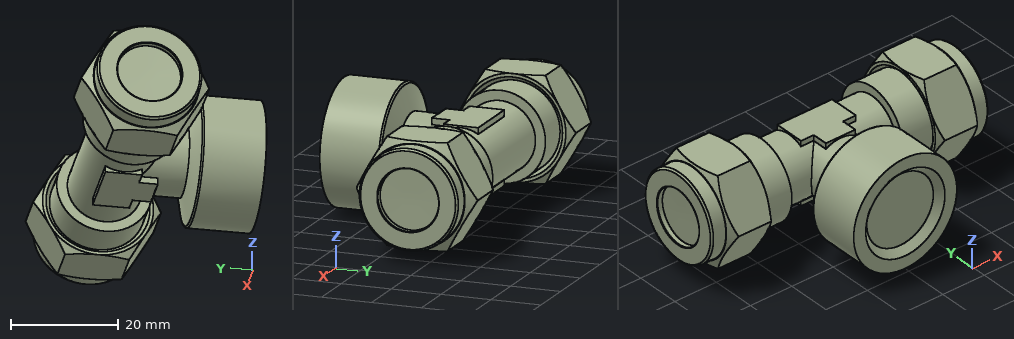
import cadquery as cq
import math

run_half_length = 33.5
branch_face = 26.0

pipe_radius = 7.05
collar_radius = 9.05
collar_start = 13.4

nut_across_flats = 21.05
nut_start = 20.0
nut_end = 30.1
nut_bevel_angle = 30.0
ring_radius = 9.9
ring_chamfer = 0.4
nut_outer_bevel_radius = 10.05
nut_recess_radius = 9.85
nut_recess_depth = 0.8
nut_inner_bevel_radius = nut_across_flats / 2
nut_corner_radius = nut_inner_bevel_radius / math.cos(math.pi / 6)

socket_radius = 6.1
socket_depth = 1.3
socket_cone_depth = 0.15
socket_edge_chamfer = 0.15

head_diameter = 25.0
head_radius = head_diameter / 2
head_start = 14.2
head_edge_chamfer = 0.35
neck_end = 12.4
mouth_radius = 9.6
mouth_floor_radius = 8.05
mouth_depth = 1.55

pad_half_width = 6.6
pad_half_depth = 3.5
pad_stem_half_width = 3.55
pad_stem_end = 7.05
pad_height = 7.4


def rod(radius, start, end):
    """Cylinder along +X between two X positions."""
    return cq.Workplane("YZ", origin=(start, 0, 0)).circle(radius).extrude(end - start)


def bevel_run(radius):
    """Length along X of a nut bevel that starts at the given radius and meets the hexagon corners."""
    return (nut_corner_radius - radius) * math.tan(math.radians(nut_bevel_angle))


def hexagon_nut():
    """Hexagonal prism with flats facing up and down and conical bevels at both ends.

    The inner end face is countersunk around the collar.
    """
    prism = (
        cq.Workplane("YZ", origin=(nut_start, 0, 0))
        .polygon(6, 2 * nut_corner_radius)
        .extrude(nut_end - nut_start)
    )
    envelope = (
        cq.Workplane("XY")
        .moveTo(nut_start + nut_recess_depth, 0)
        .lineTo(nut_start + nut_recess_depth, collar_radius)
        .lineTo(nut_start, nut_recess_radius)
        .lineTo(nut_start, nut_inner_bevel_radius)
        .lineTo(nut_start + bevel_run(nut_inner_bevel_radius), nut_corner_radius)
        .lineTo(nut_end - bevel_run(nut_outer_bevel_radius), nut_corner_radius)
        .lineTo(nut_end, nut_outer_bevel_radius)
        .lineTo(nut_end, 0)
        .close()
        .revolve(360, (0, 0, 0), (1, 0, 0))
    )
    return prism.intersect(envelope)


def run_end():
    """Collar, nut and socketed ring at the +X end of the run."""
    ring = rod(ring_radius, nut_end, run_half_length).faces(">X").edges().chamfer(ring_chamfer)
    body = rod(collar_radius, collar_start, nut_end).union(hexagon_nut()).union(ring)
    socket_floor = run_half_length - socket_depth
    socket = (
        cq.Workplane("XY")
        .moveTo(socket_floor - socket_cone_depth, 0)
        .lineTo(socket_floor, socket_radius)
        .lineTo(run_half_length, socket_radius)
        .lineTo(run_half_length, 0)
        .close()
        .revolve(360, (0, 0, 0), (1, 0, 0))
    )
    body = body.cut(socket)
    socket_rim = cq.selectors.RadiusNthSelector(0)
    return body.faces(">X").edges(socket_rim).chamfer(socket_edge_chamfer)


def branch():
    """Neck, conical shoulder and round head, with a countersunk mouth in the end face."""
    return (
        cq.Workplane("XY")
        .lineTo(pipe_radius, 0)
        .lineTo(pipe_radius, -neck_end)
        .lineTo(head_radius - head_edge_chamfer, head_edge_chamfer - head_start)
        .lineTo(head_radius, -head_start)
        .lineTo(head_radius, -branch_face)
        .lineTo(mouth_radius, -branch_face)
        .lineTo(mouth_floor_radius, mouth_depth - branch_face)
        .lineTo(0, mouth_depth - branch_face)
        .close()
        .revolve(360, (0, 0, 0), (0, 1, 0))
    )


def junction_pads():
    """T-shaped block whose flat top and bottom stand proud of the junction."""
    return (
        cq.Workplane("XY")
        .moveTo(-pad_half_width, pad_half_depth)
        .lineTo(pad_half_width, pad_half_depth)
        .lineTo(pad_half_width, -pad_half_depth)
        .lineTo(pad_stem_half_width, -pad_half_depth)
        .lineTo(pad_stem_half_width, -pad_stem_end)
        .lineTo(-pad_stem_half_width, -pad_stem_end)
        .lineTo(-pad_stem_half_width, -pad_half_depth)
        .lineTo(-pad_half_width, -pad_half_depth)
        .close()
        .extrude(pad_height, both=True)
    )


right_end = run_end()
left_end = right_end.mirror("YZ")
pipe = rod(pipe_radius, -collar_start, collar_start)
result = pipe.union(right_end).union(left_end).union(branch()).union(junction_pads())